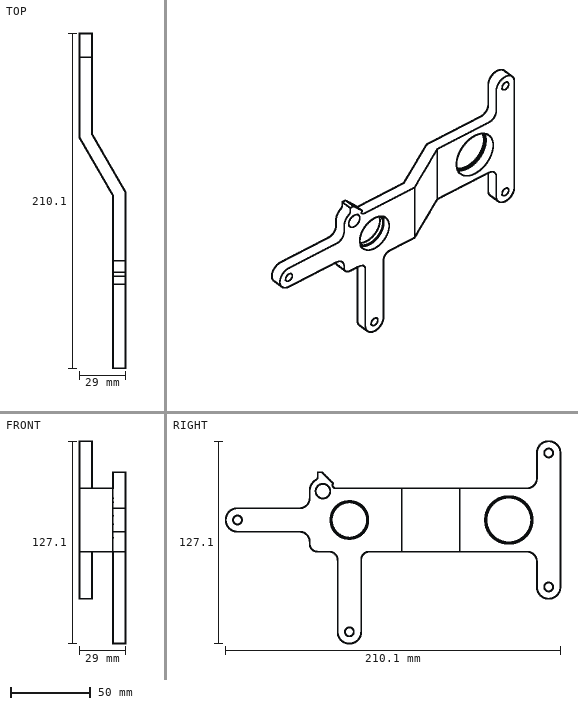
import cadquery as cq
import math


thickness = 8.0
joggle = 21.0
bend_angle = 30.0
bend_start = 30.7
bend_end = bend_start + joggle / math.tan(math.radians(bend_angle))
bend_shift = thickness * math.tan(math.radians(bend_angle / 2))

body_height = 40.0
body_end = -25.0
arm_width = 15.0
arm_reach = 70.1
cross_y = 125.0
cross_reach = 42.0
large_fillet = 6.0
small_fillet = 5.0

end_hole = 5.5
pivot_hole = 22.0
pivot_counterbore = 24.0
pivot_lip = 3.0
window_hole = 28.0
window_counterbore = 30.0
window_lip = 1.0
window_y = cross_y - 25.0
lug_hole = 9.0

lug_radius = 8.5
lug_y = body_end + lug_radius
lug_z = 18.0
shoulder_angle = 59.0
beak_top = 30.0
beak_front = -20.0
beak_back = -17.2
beak_foot_drop = 3.4
hollow_mid = (-20.2, 26.0)
heel_y = -10.0
heel_z = beak_top - (heel_y - beak_back)
notch_mid = (-10.5, 21.5)
notch_end_y = -8.8

half_arm = arm_width / 2
half_body = body_height / 2
outline_depth = thickness + joggle


def shoulder_point(angle):
    """Point on the lug's round shoulder, measured from -Y towards +Z."""
    a = math.radians(angle)
    return lug_y - lug_radius * math.cos(a), lug_z + lug_radius * math.sin(a)


def arm(y1, z1, y2, z2):
    """Straight arm with round ends centred on two points."""
    length = math.hypot(y2 - y1, z2 - z1)
    angle = math.degrees(math.atan2(z2 - z1, y2 - y1))
    return (
        cq.Workplane("YZ")
        .center((y1 + y2) / 2, (z1 + z2) / 2)
        .slot2D(length + arm_width, arm_width, angle)
        .extrude(outline_depth)
    )


def body():
    """Strip from the crossbar to the body end, including the pointed lug."""
    shoulder_end = shoulder_point(shoulder_angle)
    beak_foot = (beak_front, beak_top - beak_foot_drop)
    return (
        cq.Workplane("YZ")
        .moveTo(cross_y, -half_body)
        .lineTo(body_end, -half_body)
        .lineTo(body_end, lug_z)
        .threePointArc(shoulder_point(shoulder_angle / 2), shoulder_end)
        .threePointArc(hollow_mid, beak_foot)
        .lineTo(beak_front, beak_top)
        .lineTo(beak_back, beak_top)
        .lineTo(heel_y, heel_z)
        .threePointArc(notch_mid, (notch_end_y, half_body))
        .lineTo(cross_y, half_body)
        .close()
        .extrude(outline_depth)
    )


def round_corners(solid, corners, radius):
    """Round the outline edges running along X through the given points."""
    for y, z in corners:
        middle = (outline_depth / 2, y, z)
        edge = solid.edges("|X").edges(cq.NearestToPointSelector(middle))
        solid = edge.fillet(radius)
    return solid


def drill(solid, centres, diameter, start_x=0):
    """Cut holes along X, from start_x through the +X side."""
    cutter = cq.Workplane("YZ", origin=(start_x, 0, 0)).pushPoints(centres).circle(diameter / 2)
    return solid.cut(cutter.extrude(outline_depth))


def bent_plate():
    """Joggled sheet, tall and long enough to hold the whole outline."""
    front = -arm_reach - arm_width
    back = cross_y + arm_width
    height = 2 * (arm_reach + arm_width)
    return (
        cq.Workplane("XY")
        .polyline([
            (joggle, front),
            (joggle, bend_start),
            (0, bend_end),
            (0, back),
            (thickness, back),
            (thickness, bend_end + bend_shift),
            (joggle + thickness, bend_start + bend_shift),
            (joggle + thickness, front),
        ])
        .close()
        .extrude(height / 2, both=True)
    )


outline = (
    body()
    .union(arm(cross_y, -cross_reach, cross_y, cross_reach))
    .union(arm(0, 0, -arm_reach, 0))
    .union(arm(0, 0, 0, -arm_reach))
)
cross_inner = cross_y - half_arm
large_corners = [(y, side * z)
                 for y, z in [(cross_inner, half_body), (body_end, half_arm)]
                 for side in (1, -1)]
small_corners = [(y, -half_body) for y in (half_arm, -half_arm, body_end)]
outline = round_corners(outline, large_corners, large_fillet)
outline = round_corners(outline, small_corners, small_fillet)

end_centres = [
    (cross_y, cross_reach),
    (cross_y, -cross_reach),
    (-arm_reach, 0),
    (0, -arm_reach),
]
outline = drill(outline, end_centres, end_hole)
outline = drill(outline, [(0, 0)], pivot_hole)
outline = drill(outline, [(window_y, 0)], window_hole)
outline = drill(outline, [(lug_y, lug_z)], lug_hole)

plate = bent_plate().intersect(outline)

plate = drill(plate, [(0, 0)], pivot_counterbore, joggle + pivot_lip)
result = drill(plate, [(window_y, 0)], window_counterbore, window_lip)